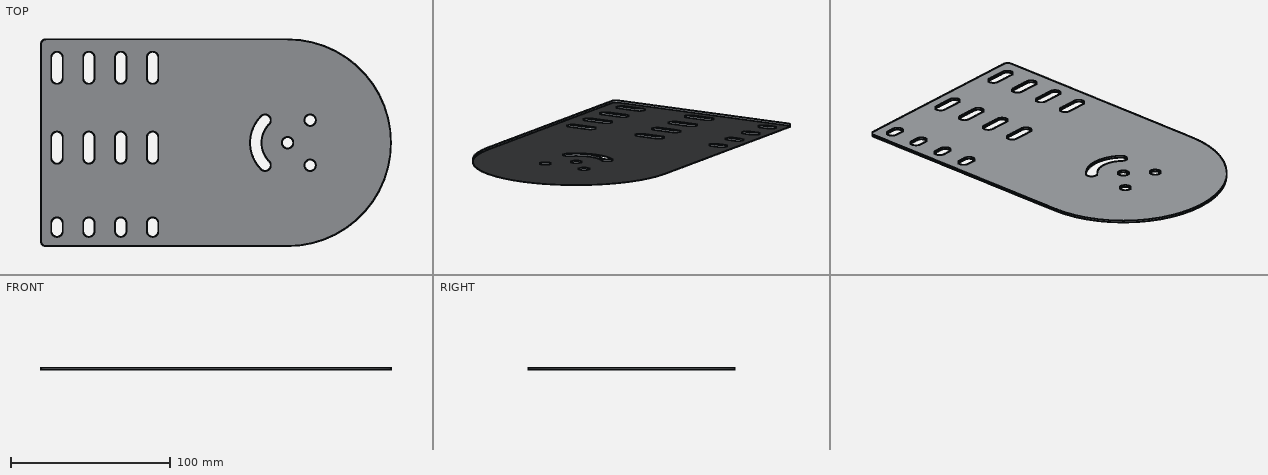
import cadquery as cq
import math

length = 220.0
width = 130.0
thickness = 1.5
corner_radius = 3.0
end_radius = width / 2
pivot_x = length - end_radius

hole_diameter = 7.0
slot_columns = 4
first_column_x = 10.1
column_pitch = 20.0
long_slot = 20.0
short_slot = 12.0
slot_rows = [(47.0, long_slot), (-3.0, long_slot), (-53.0, short_slot)]

pivot_circle_radius = 20.0
hole_angle = 45


def polar(radius, degrees):
    """Point at a radius and angle around the pivot."""
    angle = math.radians(degrees)
    return (pivot_x + radius * math.cos(angle), radius * math.sin(angle))


def make_plate():
    block = (
        cq.Workplane("XY")
        .box(pivot_x, width, thickness, centered=(False, True, False))
        .edges("|Z and <X")
        .fillet(corner_radius)
    )
    round_end = cq.Workplane("XY").center(pivot_x, 0).circle(end_radius).extrude(thickness)
    return block.union(round_end)


def slot_row(center_y, slot_length):
    centers = [(first_column_x + i * column_pitch, center_y) for i in range(slot_columns)]
    return cq.Workplane("XY").pushPoints(centers).slot2D(slot_length, hole_diameter, 90).extrude(thickness)


def pivot_holes():
    centers = [
        (pivot_x, 0),
        polar(pivot_circle_radius, hole_angle),
        polar(pivot_circle_radius, -hole_angle),
    ]
    return cq.Workplane("XY").pushPoints(centers).circle(hole_diameter / 2).extrude(thickness)


def arc_slot():
    """Round-ended slot facing the square end, opposite the two outer holes."""
    start = 180 - hole_angle
    end = 180 + hole_angle
    outer = pivot_circle_radius + hole_diameter / 2
    inner = pivot_circle_radius - hole_diameter / 2
    tip_angle = math.degrees(math.atan2(hole_diameter / 2, pivot_circle_radius))
    tip_radius = math.hypot(pivot_circle_radius, hole_diameter / 2)
    return (
        cq.Workplane("XY")
        .moveTo(*polar(outer, start))
        .threePointArc(polar(outer, 180), polar(outer, end))
        .threePointArc(polar(tip_radius, end + tip_angle), polar(inner, end))
        .threePointArc(polar(inner, 180), polar(inner, start))
        .threePointArc(polar(tip_radius, start - tip_angle), polar(outer, start))
        .close()
        .extrude(thickness)
    )


result = make_plate()
for row_y, row_slot_length in slot_rows:
    result = result.cut(slot_row(row_y, row_slot_length))
result = result.cut(pivot_holes()).cut(arc_slot())